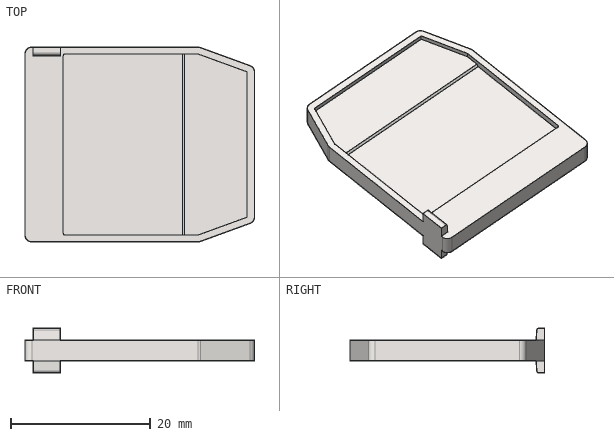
import cadquery as cq
import math

length = 33.0
width = 28.0
thickness = 3.0
corner_radius = 1.0
bend_x = 25.05
taper_angle = 20.0

side_wall = 1.0
end_wall = 1.1
pocket_start_x = 5.5
pocket_corner_radius = 0.25
deep_floor_depth = 1.0
shallow_floor_depth = 0.7
ramp_start_x = 22.65
ramp_length = 0.25

tab_height = 6.4
tab_start_x = 1.2
tab_length = 3.9
tab_root_depth = 1.25
tab_tip_depth = 1.12
tab_edge_radius = 0.25

half_width = width / 2
half_thickness = thickness / 2


def tapered_outline(start_x, end_x, half_span, taper_start_x):
    """Sketch a rectangle with both +X corners cut at the taper angle."""
    taper_drop = (end_x - taper_start_x) * math.tan(math.radians(taper_angle))
    end_half_span = half_span - taper_drop
    return (
        cq.Workplane("XY")
        .moveTo(start_x, -half_span)
        .lineTo(taper_start_x, -half_span)
        .lineTo(end_x, -end_half_span)
        .lineTo(end_x, end_half_span)
        .lineTo(taper_start_x, half_span)
        .lineTo(start_x, half_span)
        .close()
    )


def make_plate():
    outline = tapered_outline(0, length, half_width, bend_x)
    plate = outline.extrude(half_thickness, both=True)
    return plate.edges("|Z").fillet(corner_radius)


def make_pocket():
    """Cutter for the pocket, with its stepped floor."""
    pocket_bend_x = bend_x - side_wall * math.tan(math.radians(taper_angle / 2))
    end_x = length - end_wall
    outline = tapered_outline(pocket_start_x, end_x, half_width - side_wall, pocket_bend_x)
    pocket = outline.extrude(thickness).edges("|Z and <X").fillet(pocket_corner_radius)
    deep_z = half_thickness - deep_floor_depth
    shallow_z = half_thickness - shallow_floor_depth
    floor_profile = (
        cq.Workplane("XZ")
        .moveTo(0, deep_z)
        .lineTo(ramp_start_x, deep_z)
        .lineTo(ramp_start_x + ramp_length, shallow_z)
        .lineTo(length, shallow_z)
        .lineTo(length, thickness)
        .lineTo(0, thickness)
        .close()
        .extrude(half_width, both=True)
    )
    return pocket.intersect(floor_profile)


def make_tab():
    """Tab with its inner face leaning outwards towards both rounded tips."""
    half_height = tab_height / 2
    root_y = half_width - tab_root_depth
    tip_y = half_width - tab_tip_depth
    tab = (
        cq.Workplane("YZ", origin=(tab_start_x, 0, 0))
        .moveTo(half_width, -half_height)
        .lineTo(tip_y, -half_height)
        .lineTo(root_y, -half_thickness)
        .lineTo(root_y, half_thickness)
        .lineTo(tip_y, half_height)
        .lineTo(half_width, half_height)
        .close()
        .extrude(tab_length)
    )
    inner_tip_edges = tab.faces("<Z or >Z").edges("<Y")
    return inner_tip_edges.fillet(tab_edge_radius)


result = make_plate().cut(make_pocket()).union(make_tab())